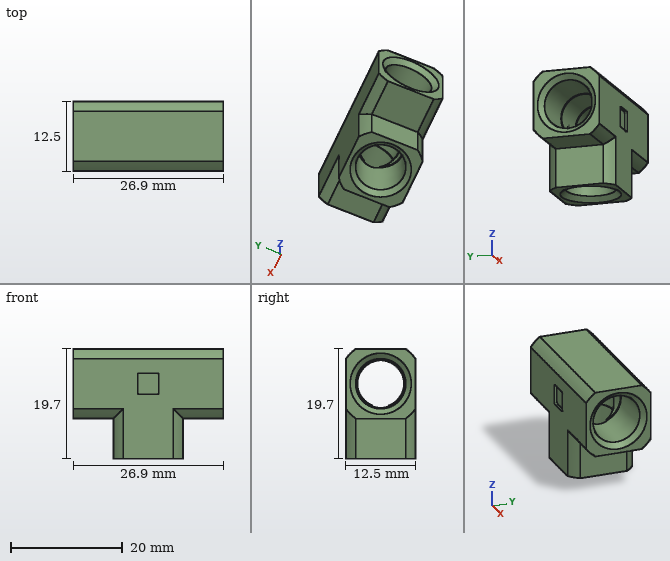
import cadquery as cq
import math

ARM_WIDTH = 12.5
ARM_LENGTH = 13.46
FLAT_WIDTH = 8.96
HALF_WIDTH = ARM_WIDTH / 2
CORNER_RADIUS = math.hypot(HALF_WIDTH, FLAT_WIDTH / 2)

ENTRY_DIAMETER = 10.96
MOUTH_DIAMETER = 9.0
TAPER_END_DIAMETER = 8.61
CORE_DIAMETER = 8.34
STEP_DEPTH = 9.56
ENTRY_DEPTH = (ENTRY_DIAMETER - MOUTH_DIAMETER) / 2

RECESS_SIZE = 3.8
RECESS_DEPTH = 0.5
RECESS_CORNER_RADIUS = 0.25
RECESS_TOP_Z = 1.9

LEFT = cq.Vector(-1, 0, 0)
RIGHT = cq.Vector(1, 0, 0)
DOWN = cq.Vector(0, 0, -1)
ACROSS = cq.Vector(0, 1, 0)


def rounded_bar(axis, start, length):
    """Square bar whose corners are turned down to CORNER_RADIUS about its axis."""
    plane = cq.Plane(origin=(axis * start).toTuple(), xDir=ACROSS, normal=axis)
    square = cq.Workplane(plane).rect(ARM_WIDTH, ARM_WIDTH).extrude(length)
    cylinder = cq.Workplane(plane).circle(CORNER_RADIUS).extrude(length)
    return square.intersect(cylinder)


def tee_body():
    run = rounded_bar(RIGHT, -ARM_LENGTH, 2 * ARM_LENGTH)
    branch = rounded_bar(DOWN, 0, ARM_LENGTH)
    return run.union(branch)


def port(direction):
    """Stepped, tapered bore from the end of an arm to the centre of the tee."""
    profile = [
        (0, 0),
        (CORE_DIAMETER / 2, 0),
        (CORE_DIAMETER / 2, ARM_LENGTH - STEP_DEPTH),
        (TAPER_END_DIAMETER / 2, ARM_LENGTH - STEP_DEPTH),
        (MOUTH_DIAMETER / 2, ARM_LENGTH - ENTRY_DEPTH),
        (ENTRY_DIAMETER / 2, ARM_LENGTH),
        (0, ARM_LENGTH),
    ]
    plane = cq.Plane(
        origin=(0, 0, 0),
        xDir=ACROSS,
        normal=ACROSS.cross(direction),
    )
    return cq.Workplane(plane).polyline(profile).close().revolve(360, (0, 0), (0, 1))


def face_recess():
    return (
        cq.Workplane("XY")
        .box(RECESS_SIZE, RECESS_DEPTH, RECESS_SIZE)
        .edges("|Y")
        .fillet(RECESS_CORNER_RADIUS)
        .translate((0, (RECESS_DEPTH - ARM_WIDTH) / 2, RECESS_TOP_Z - RECESS_SIZE / 2))
    )


result = tee_body()
for arm_direction in (LEFT, RIGHT, DOWN):
    result = result.cut(port(arm_direction))
result = result.cut(face_recess())